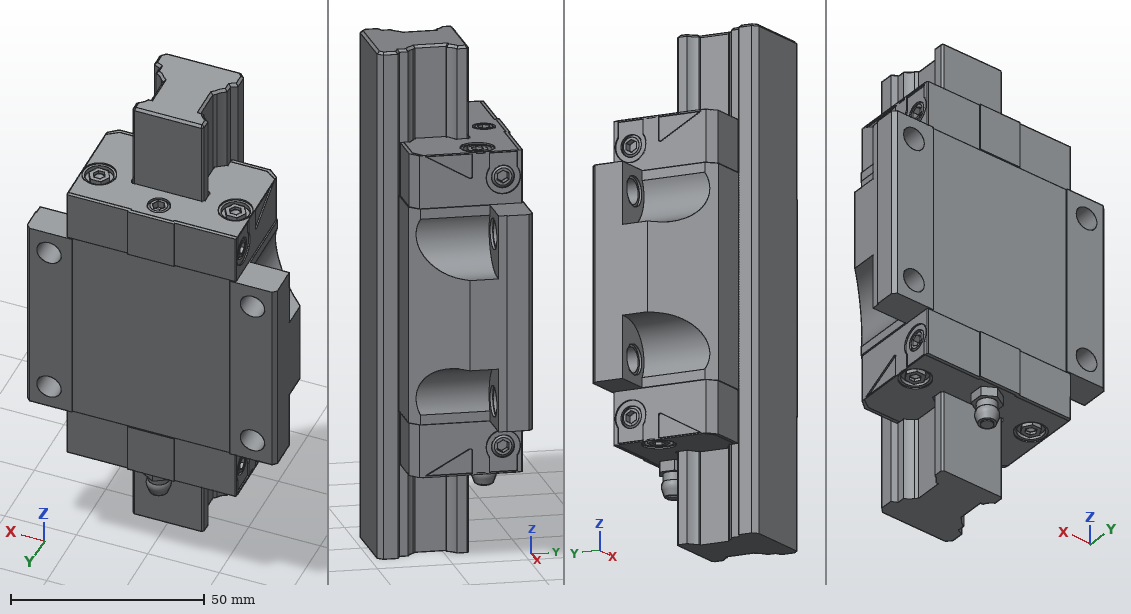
import cadquery as cq
import math


RAIL_LENGTH = 136.2
BASE_HALF = 11.7
BASE_CHAMFER = 1.4
SHOULDER_LOW = 5.2
SHOULDER_HIGH = 6.0
HEAD_HALF = 10.0
FLANK_LOW = 8.3
WEB_HALF = 7.0
WEB_LOW = 10.8
WEB_HIGH = 18.9
GROOVE_STEP = 0.8
LOWER_STRIP_DROP = 0.7
GROOVE_SAG = 0.3
HEAD_LOW = 21.2
RAIL_HEIGHT = 24.4
HEAD_CHAMFER = 0.5
RAIL_END_CHAMFER = 0.7

CLEARANCE = 0.4
SLOT_CORNER = 0.7

TOP = 36.0
BLOCK_LENGTH = 58.0
BLOCK_HALF = 35.0
BLOCK_BOTTOM = 5.9
BLOCK_BOTTOM_HALF = 21.5
SIDE_LOW = 19.5
FLANGE_CHAMFER = 1.1
REFERENCE_LOW = 29.0
REFERENCE_RELIEF = 0.3
TOP_RELIEF_HALF = 22.0
TOP_RELIEF_DEPTH = 0.4

HOLE_X = 28.5
HOLE_Z = 22.5
HOLE_RADIUS = 3.4
COUNTERBORE_RADIUS = 4.1
COUNTERBORE_DEPTH = 0.7
FLANGE_UNDERSIDE = 26.8
POCKET_WALL = 24.1
POCKET_RADIUS = 10.0
POCKET_X = 33.1
POCKET_Z = 22.0

CAP_LENGTH = 14.3
CAP_HALF = 23.7
CAP_BOTTOM = 6.1
CAP_TOP = TOP - TOP_RELIEF_DEPTH
CAP_BOTTOM_HALF = 21.1
CAP_SIDE_LOW = 8.3
CAP_TOP_CORNER = 0.3
STRIP_HALF = 6.5
PAD_HEIGHT = 0.07
PAD_INSET = 1.0
PAD_STRIP_HALF = 6.0

RECESS_DEPTH = 0.4
RECESS_LIP = 0.4
PORT_Y = 30.5
PORT_OFFSET = 7.2
PORT_RECESS_RADIUS = 4.5
PORT_SLOT_HALF = 3.7
WEDGE_HIGH = 22.3
WEDGE_LOW = 10.0
WEDGE_DEPTH = 7.4
WEDGE_FILLET = 0.5

FIXING_X = 19.0
FIXING_Y = 24.7
FIXING_RIM_RADIUS = 4.5
FIXING_RIM_DEPTH = 0.4
FIXING_WELL_RADIUS = 3.8
FIXING_WELL_DEPTH = 1.6
FIXING_HEX_FLATS = 5.0
FIXING_HEX_HEIGHT = 1.4
FIXING_SOCKET_FLATS = 2.9
FIXING_SOCKET_DEPTH = 0.8
FIXING_CONE_RADIUS = 1.4
FIXING_CONE_DEPTH = 1.1

PORT_RADIUS = 3.0
PORT_DEPTH = 5.0
PLUG_CHAMFER = 0.7
PLUG_SOCKET_FLATS = 3.0
PLUG_SOCKET_DEPTH = 2.0

NIPPLE_HEX_FLATS = 7.4
NIPPLE_HEX_HEIGHT = 2.9
NIPPLE_NECK_RADIUS = 2.9
NIPPLE_NECK_TOP = 5.0
NIPPLE_BALL_RADIUS = 3.3
NIPPLE_BALL_TOP = 7.5
NIPPLE_BALL_EDGE = 3.0
NIPPLE_TIP_RADIUS = 2.5
NIPPLE_TIP_TOP = 9.0
NIPPLE_NOSE_RADIUS = 1.8
NIPPLE_HEIGHT = 9.4

CAP_END = BLOCK_LENGTH / 2 + CAP_LENGTH


def across_corners(flats):
    return flats / math.cos(math.radians(30))


def symmetric_prism(half_points, start, length):
    """Extrude along Z the closed outline of the +X points and their mirror images."""
    mirrored = [(-x, y) for x, y in reversed(half_points)]
    return (
        cq.Workplane("XY").workplane(offset=start)
        .polyline(half_points + mirrored).close().extrude(length)
    )


def build_rail():
    groove_start = (WEB_HALF + GROOVE_STEP, WEB_HIGH)
    groove_end = (HEAD_HALF, HEAD_LOW)
    flank_start = (HEAD_HALF, FLANK_LOW)
    flank_end = (WEB_HALF + GROOVE_STEP, WEB_LOW - LOWER_STRIP_DROP)
    half = (
        cq.Workplane("XY").workplane(offset=-RAIL_LENGTH / 2)
        .lineTo(BASE_HALF - BASE_CHAMFER, 0)
        .lineTo(BASE_HALF, BASE_CHAMFER)
        .lineTo(BASE_HALF, SHOULDER_LOW)
        .lineTo(HEAD_HALF, SHOULDER_HIGH)
        .lineTo(*flank_start)
        .sagittaArc(flank_end, GROOVE_SAG)
        .lineTo(WEB_HALF, WEB_LOW)
        .lineTo(WEB_HALF, WEB_HIGH)
        .lineTo(*groove_start)
        .sagittaArc(groove_end, GROOVE_SAG)
        .lineTo(HEAD_HALF, RAIL_HEIGHT - HEAD_CHAMFER)
        .lineTo(HEAD_HALF - HEAD_CHAMFER, RAIL_HEIGHT)
        .lineTo(0, RAIL_HEIGHT)
        .close()
        .extrude(RAIL_LENGTH)
    )
    rail = half.union(half.mirror("YZ")).clean()
    return rail.faces(">Z").chamfer(RAIL_END_CHAMFER)


def rail_slot():
    """The passage for the rail through the end caps, clear of the rail all round."""
    wide = HEAD_HALF + CLEARANCE
    narrow = WEB_HALF + CLEARANCE
    roof = RAIL_HEIGHT + CLEARANCE
    half_points = [
        (wide, 0),
        (wide, FLANK_LOW + CLEARANCE),
        (narrow, WEB_LOW),
        (narrow, WEB_HIGH),
        (wide, HEAD_LOW - CLEARANCE),
        (wide, roof - SLOT_CORNER),
        (wide - SLOT_CORNER, roof),
    ]
    return symmetric_prism(half_points, -CAP_END, 2 * CAP_END)


def flange_pocket(side, end):
    """Recess below the flange around one mounting hole, open to the side and to the block end."""
    block_end = BLOCK_LENGTH / 2
    wall_z = POCKET_Z + math.sqrt(POCKET_RADIUS**2 - (POCKET_X - POCKET_WALL) ** 2)
    arc_reach = POCKET_RADIUS * math.sqrt(0.5)
    outline = (
        cq.Workplane("XZ", origin=(0, FLANGE_UNDERSIDE, 0))
        .moveTo(side * BLOCK_HALF, end * block_end)
        .lineTo(side * POCKET_WALL, end * block_end)
        .lineTo(side * POCKET_WALL, end * wall_z)
        .threePointArc(
            (side * (POCKET_X - arc_reach), end * (POCKET_Z - arc_reach)),
            (side * POCKET_X, end * (POCKET_Z - POCKET_RADIUS)),
        )
        .lineTo(side * BLOCK_HALF, end * (POCKET_Z - POCKET_RADIUS))
        .close()
    )
    return outline.extrude(FLANGE_UNDERSIDE)


def mounting_hole(side, end):
    """Through hole with a shallow counterbore at the underside of the flange."""
    floor = cq.Workplane("XZ", origin=(side * HOLE_X, FLANGE_UNDERSIDE, end * HOLE_Z))
    bore = floor.circle(HOLE_RADIUS).extrude(FLANGE_UNDERSIDE - TOP)
    mouth = floor.circle(COUNTERBORE_RADIUS).extrude(-COUNTERBORE_DEPTH)
    return bore.union(mouth)


def reference_relief():
    """Sliver taken off the +X side so that only a land beside the top stands out as reference edge."""
    return cq.Workplane("XY").box(
        REFERENCE_RELIEF, REFERENCE_LOW, BLOCK_LENGTH, centered=(False, False, True)
    ).translate((BLOCK_HALF - REFERENCE_RELIEF, 0, 0))


def build_block(rail_core):
    half_points = [
        (BLOCK_BOTTOM_HALF, BLOCK_BOTTOM),
        (BLOCK_HALF, SIDE_LOW),
        (BLOCK_HALF, TOP - FLANGE_CHAMFER),
        (BLOCK_HALF - FLANGE_CHAMFER, TOP),
        (TOP_RELIEF_HALF, TOP),
        (TOP_RELIEF_HALF, TOP - TOP_RELIEF_DEPTH),
    ]
    block = symmetric_prism(half_points, -BLOCK_LENGTH / 2, BLOCK_LENGTH).cut(rail_core)
    for side in (-1, 1):
        for end in (-1, 1):
            block = block.cut(flange_pocket(side, end)).cut(mounting_hole(side, end))
    return block.cut(reference_relief())


def cap_outline():
    """Half outline of the cap body, with a strip raised along the middle of its top."""
    return [
        (CAP_BOTTOM_HALF, CAP_BOTTOM),
        (CAP_HALF, CAP_SIDE_LOW),
        (CAP_HALF, CAP_TOP - CAP_TOP_CORNER),
        (CAP_HALF - CAP_TOP_CORNER, CAP_TOP),
        (STRIP_HALF, CAP_TOP),
        (STRIP_HALF, TOP),
    ]


def pad_outline():
    """Half outline of the end pad: flush with the sides, set in from the top and bottom."""
    return [
        (CAP_BOTTOM_HALF - PAD_INSET / 2, CAP_BOTTOM + PAD_INSET),
        (CAP_HALF, CAP_SIDE_LOW + PAD_INSET),
        (CAP_HALF, CAP_TOP - PAD_INSET),
        (PAD_STRIP_HALF, CAP_TOP - PAD_INSET),
        (PAD_STRIP_HALF, TOP - PAD_INSET),
    ]


def side_recesses(side):
    """Shallow keyhole around the side port and a wedge below it."""
    base = BLOCK_LENGTH / 2
    port_z = base + PORT_OFFSET
    top_z = CAP_END - RECESS_LIP
    plane = cq.Workplane("YZ", origin=(side * CAP_HALF, 0, 0))
    depth = -side * RECESS_DEPTH
    ring = plane.center(PORT_Y, port_z).circle(PORT_RECESS_RADIUS).extrude(depth)
    slot = plane.center(PORT_Y, (port_z + top_z) / 2).rect(2 * PORT_SLOT_HALF, top_z - port_z).extrude(depth)
    wedge = (
        plane.polyline([(WEDGE_LOW, top_z), (WEDGE_HIGH, top_z), (WEDGE_HIGH, CAP_END - WEDGE_DEPTH)])
        .close().extrude(depth)
        .edges("|X").edges("<Z").fillet(WEDGE_FILLET)
    )
    return ring.union(slot).union(wedge)


def end_fixing_cuts(side):
    """Round stepped recess around a hexagon, and the socket in the hexagon."""
    centre = (side * FIXING_X, FIXING_Y)
    face = cq.Workplane("XY", origin=(*centre, CAP_END))
    rim = face.circle(FIXING_RIM_RADIUS).extrude(-FIXING_RIM_DEPTH)
    well = face.circle(FIXING_WELL_RADIUS).extrude(-FIXING_WELL_DEPTH)
    hexagon = (
        face.workplane(offset=-FIXING_WELL_DEPTH)
        .polygon(6, across_corners(FIXING_HEX_FLATS)).extrude(FIXING_HEX_HEIGHT)
    )
    socket_top = FIXING_HEX_HEIGHT - FIXING_WELL_DEPTH
    socket = (
        face.workplane(offset=socket_top)
        .polygon(6, across_corners(FIXING_SOCKET_FLATS)).extrude(-FIXING_SOCKET_DEPTH)
    )
    cone = cq.Solid.makeCone(
        FIXING_CONE_RADIUS, 0, FIXING_CONE_DEPTH,
        pnt=cq.Vector(*centre, CAP_END + socket_top - FIXING_SOCKET_DEPTH), dir=cq.Vector(0, 0, -1),
    )
    return rim.union(well).cut(hexagon).union(socket).union(cq.Workplane(cone))


def side_port_plane(side):
    return cq.Plane(
        origin=(side * (CAP_HALF - RECESS_DEPTH), PORT_Y, BLOCK_LENGTH / 2 + PORT_OFFSET),
        xDir=(0, 0, 1), normal=(side, 0, 0),
    )


def end_port_plane():
    return cq.Plane(origin=(0, PORT_Y, CAP_END), xDir=(1, 0, 0), normal=(0, 0, 1))


def port_planes():
    """Mouths of the ports in the cap on the +Z end, facing outward."""
    return [side_port_plane(-1), side_port_plane(1), end_port_plane()]


def build_cap():
    """End cap on the +Z end of the block."""
    base = BLOCK_LENGTH / 2
    body_length = CAP_LENGTH - PAD_HEIGHT
    cap = symmetric_prism(cap_outline(), base, body_length)
    pad = symmetric_prism(pad_outline(), base + body_length, PAD_HEIGHT)
    cap = cap.union(pad).cut(rail_slot())
    for side in (-1, 1):
        cap = cap.cut(side_recesses(side)).cut(end_fixing_cuts(side))
    for plane in port_planes():
        cap = cap.cut(cq.Workplane(plane).circle(PORT_RADIUS).extrude(-PORT_DEPTH))
    return cap


def build_plug(plane):
    """Set screw that fills a port, with a chamfered rim and a hexagon socket."""
    plug = cq.Workplane(plane).circle(PORT_RADIUS).extrude(-PORT_DEPTH)
    plug = plug.faces(cq.selectors.DirectionMinMaxSelector(plane.zDir)).chamfer(PLUG_CHAMFER)
    socket = (
        cq.Workplane(plane).polygon(6, across_corners(PLUG_SOCKET_FLATS)).extrude(-PLUG_SOCKET_DEPTH)
    )
    return plug.cut(socket)


def build_nipple():
    """Grease nipple in the end port of the cap on the -Z end."""
    face = cq.Plane(origin=(0, PORT_Y, -CAP_END), xDir=(0, 1, 0), normal=(0, 0, -1))
    shank = cq.Workplane(face).circle(PORT_RADIUS).extrude(-PORT_DEPTH)
    hexagon = cq.Workplane(face).polygon(6, across_corners(NIPPLE_HEX_FLATS)).extrude(NIPPLE_HEX_HEIGHT)
    ball_middle = (NIPPLE_NECK_TOP + NIPPLE_BALL_TOP) / 2
    profile = cq.Plane(origin=face.origin, xDir=(1, 0, 0), normal=(0, 1, 0))
    head = (
        cq.Workplane(profile)
        .lineTo(NIPPLE_NECK_RADIUS, 0)
        .lineTo(NIPPLE_NECK_RADIUS, NIPPLE_NECK_TOP)
        .threePointArc((NIPPLE_BALL_RADIUS, ball_middle), (NIPPLE_BALL_EDGE, NIPPLE_BALL_TOP))
        .lineTo(NIPPLE_TIP_RADIUS, NIPPLE_TIP_TOP)
        .lineTo(NIPPLE_NOSE_RADIUS, NIPPLE_TIP_TOP)
        .lineTo(NIPPLE_NOSE_RADIUS, NIPPLE_HEIGHT)
        .lineTo(0, NIPPLE_HEIGHT)
        .close()
        .revolve(360, (0, 0), (0, 1))
    )
    return shank.union(hexagon).union(head)


rail = build_rail()
block = build_block(rail)
upper_cap = build_cap()
lower_cap = upper_cap.mirror("XY")
nipple = build_nipple()

side_plugs = [build_plug(side_port_plane(side)) for side in (-1, 1)]
plugs = side_plugs + [plug.mirror("XY") for plug in side_plugs] + [build_plug(end_port_plane())]

result = cq.Compound.makeCompound([
    rail.val(),
    block.val(),
    upper_cap.val(),
    lower_cap.val(),
    nipple.val(),
    *[plug.val() for plug in plugs],
])